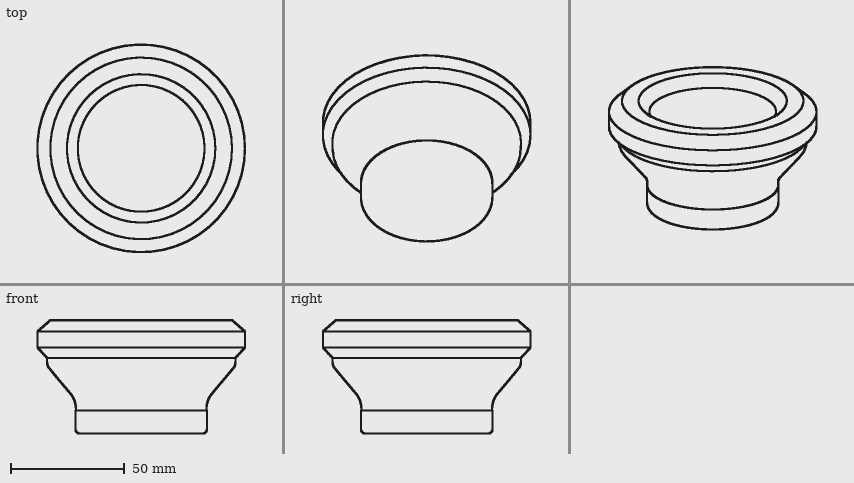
import cadquery as cq
import math

total_height = 50.0

ring_radius = 45.7
ring_top_radius = 40.0
ring_bore_top_radius = 32.6
ring_upper_bevel_height = 5.0
ring_rim_height = 7.1

flange_radius = 41.5
flange_top = 33.4
boss_radius = 27.9
boss_recess = 5.0
flange_fillet = 4.0
neck_radius = 28.8
neck_fillet = 10.0
neck_fillet_start = 11.2
cone_angle = math.radians(40)
foot_radius = 58.0 / 2
foot_height = 10.15
foot_fillet = 2.0

boss_top = total_height - boss_recess
rim_top = total_height - ring_upper_bevel_height
rim_bottom = rim_top - ring_rim_height


def make_pedestal():
    """Foot, concave neck, flared cone and central boss turned as one body."""
    def neck_point(angle):
        return (
            neck_radius + neck_fillet * (1 - math.cos(angle)),
            neck_fillet_start + neck_fillet * math.sin(angle),
        )

    cone_start_radius, cone_start_z = neck_point(cone_angle)
    cone_end_radius = flange_radius - flange_fillet * (1 - math.cos(cone_angle))
    cone_end_z = cone_start_z + (cone_end_radius - cone_start_radius) / math.tan(cone_angle)
    flange_fillet_end = cone_end_z + flange_fillet * math.sin(cone_angle)
    flange_mid = (
        flange_radius - flange_fillet * (1 - math.cos(cone_angle / 2)),
        flange_fillet_end - flange_fillet * math.sin(cone_angle / 2),
    )
    profile = (
        cq.Workplane("XZ")
        .lineTo(foot_radius - foot_fillet, 0)
        .radiusArc((foot_radius, foot_fillet), -foot_fillet)
        .lineTo(foot_radius, foot_height)
        .lineTo(neck_radius, foot_height)
        .lineTo(neck_radius, neck_fillet_start)
        .threePointArc(neck_point(cone_angle / 2), (cone_start_radius, cone_start_z))
        .lineTo(cone_end_radius, cone_end_z)
        .threePointArc(flange_mid, (flange_radius, flange_fillet_end))
        .lineTo(flange_radius, flange_top)
        .lineTo(boss_radius, flange_top)
        .lineTo(boss_radius, boss_top)
        .lineTo(0, boss_top)
        .close()
    )
    return profile.revolve(360, (0, 0), (0, 1))


def make_ring():
    """Bevelled ring seated on the flange around the boss."""
    profile = (
        cq.Workplane("XZ")
        .polyline(
            [
                (boss_radius, flange_top),
                (flange_radius, flange_top),
                (ring_radius, rim_bottom),
                (ring_radius, rim_top),
                (ring_top_radius, total_height),
                (ring_bore_top_radius, total_height),
                (boss_radius, boss_top),
            ]
        )
        .close()
    )
    return profile.revolve(360, (0, 0), (0, 1))


pedestal = make_pedestal()
ring = make_ring()
result = cq.Compound.makeCompound([pedestal.val(), ring.val()])